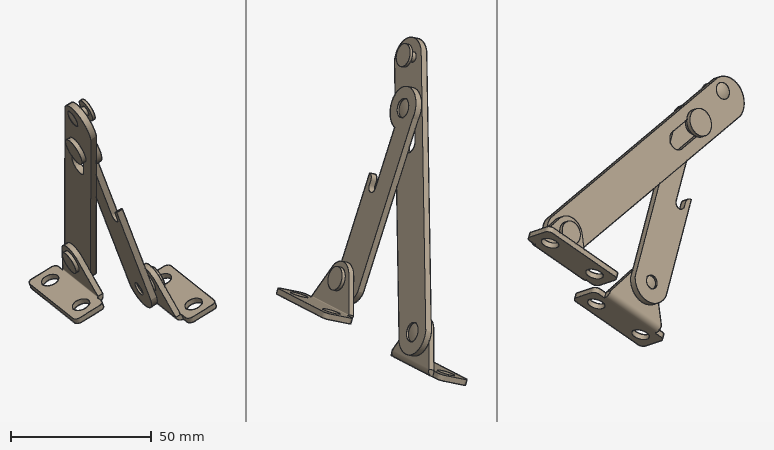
import cadquery as cq
import math

arm_sheet = 2.5
bracket_sheet = 2.14

yaw = 10.24
lean = 19.69
roll = 0.64

long_arm_width = 16.19
long_end_radius = 8.27
long_arm_length = 101.44
long_arm_angle = 59.67
slot_start = 70.42
slider_along = 83.11
stop_along = 101.7
stop_across = 3.16

short_arm_width = 15.33
short_end_radius = 7.85
short_arm_length = 65.31
short_arm_angle = 91.62
neck_width = 9.05
notch_width = 4.1
notch_centre = 34.48
hook_tip = 38.45

base_length = 34.89
base_depth = 12.4
base_corner = 2.0
base_drop = 12.33
screw_hole = 6.4
screw_spacing = 22.2
bend_inner = 0.3
flange_width = 25.48
flange_round = 6.46

shank_diameter = 7.0
head_diameter = 8.59
head_thickness = 1.4
slider_head_diameter = 10.2
slider_head_thickness = 1.76
rear_tail_diameter = 5.0
stop_tail_diameter = 6.2
stop_neck_diameter = 3.75
stop_neck_length = 3.23
stop_head_diameter = 8.4
stop_head_thickness = 1.12
stop_tail_depth = arm_sheet / 2
stop_dome_height = 0.75
tail_recess = 0.8
tail_dome_height = 0.4
slot_width = shank_diameter

front_gap = 0.18
rear_gap = 2.3
front_flange_back = -front_gap
front_flange_front = front_flange_back - bracket_sheet
long_arm_front = 0.0
long_arm_back = long_arm_front + arm_sheet
short_arm_front = long_arm_back
short_arm_back = short_arm_front + arm_sheet
rear_flange_front = short_arm_back + rear_gap
rear_flange_back = rear_flange_front + bracket_sheet


def along_long_arm(along, across):
    """Point on the long arm, given along it and to the left of its centre line."""
    angle = math.radians(long_arm_angle)
    x = along * math.cos(angle) - across * math.sin(angle)
    z = along * math.sin(angle) + across * math.cos(angle)
    return (x, z)


front_pivot = (0.0, 0.0)
slider = along_long_arm(slider_along, 0)
stop = along_long_arm(stop_along, stop_across)
rear_pivot = (
    slider[0] - short_arm_length * math.cos(math.radians(short_arm_angle)),
    slider[1] - short_arm_length * math.sin(math.radians(short_arm_angle)),
)


def disc(centre, diameter, front, back):
    """Cylinder along Y from depth front to depth back."""
    plane = cq.Plane(origin=(centre[0], front, centre[1]), xDir=(-1, 0, 0), normal=(0, 1, 0))
    return cq.Workplane(plane).circle(diameter / 2).extrude(back - front)


def dome(centre, diameter, rim, tip):
    """Shallow spherical cap with its flat side at depth rim and its top at depth tip."""
    rise = abs(tip - rim)
    radius = ((diameter / 2) ** 2 + rise**2) / (2 * rise)
    ball_depth = tip - math.copysign(radius, tip - rim)
    ball = cq.Workplane("XY").sphere(radius).translate((centre[0], ball_depth, centre[1]))
    return ball.intersect(disc(centre, diameter, min(rim, tip), max(rim, tip)))


def make_pin(centre, steps, dome_height):
    """Turned pin of (diameter, start, end) steps, with a low dome on the end of the last step."""
    tail_diameter, tail_start, tail_end = steps[-1]
    tip = tail_end + math.copysign(dome_height, tail_end - tail_start)
    pin = dome(centre, tail_diameter, tail_end, tip)
    for diameter, start, end in steps:
        pin = pin.union(disc(centre, diameter, min(start, end), max(start, end)))
    return pin


def stand(arm, pivot, angle, front):
    """Raise an arm drawn along +X in the XY plane, swing it to its angle and set its pivot and depth."""
    upright = arm.rotate((0, 0, 0), (1, 0, 0), 90).rotate((0, 0, 0), (0, 1, 0), -angle)
    return upright.translate((pivot[0], front, pivot[1]))


def make_long_arm():
    half = long_arm_width / 2
    end_join = math.sqrt(long_end_radius**2 - half**2)
    top_join = long_arm_length + end_join
    blank = (
        cq.Workplane("XY")
        .moveTo(-end_join, -half)
        .lineTo(top_join, -half)
        .threePointArc((long_arm_length + long_end_radius, 0), (top_join, half))
        .lineTo(-end_join, half)
        .threePointArc((-long_end_radius, 0), (-end_join, -half))
        .close()
        .extrude(-arm_sheet)
    )
    slot = (
        cq.Workplane("XY")
        .center((slot_start + slider_along) / 2, 0)
        .slot2D(slider_along - slot_start + slot_width, slot_width)
        .extrude(-arm_sheet)
    )
    pivot_hole = cq.Workplane("XY").circle(shank_diameter / 2).extrude(-arm_sheet)
    stop_centre = cq.Workplane("XY").center(stop_along, stop_across)
    neck_hole = stop_centre.circle(stop_neck_diameter / 2).extrude(-arm_sheet)
    tail_recess_hole = stop_centre.circle(stop_tail_diameter / 2).extrude(-stop_tail_depth)
    arm = blank.cut(slot).cut(pivot_hole).cut(neck_hole).cut(tail_recess_hole)
    return stand(arm, front_pivot, long_arm_angle, long_arm_front)


def make_short_arm():
    """Narrow-necked arm with a round head, and a hook beside the neck that catches the stop pin."""
    half = short_arm_width / 2
    end_join = math.sqrt(short_end_radius**2 - half**2)
    neck_side = half - neck_width
    neck_top = short_arm_length - math.sqrt(short_end_radius**2 - neck_side**2)
    hook_inner = neck_side - notch_width
    hook_width = half + hook_inner
    hook_shoulder = hook_tip - hook_width
    diagonal = hook_width * math.sqrt(0.5)
    notch_radius = notch_width / 2
    blank = (
        cq.Workplane("XY")
        .moveTo(-end_join, -half)
        .lineTo(hook_tip, -half)
        .threePointArc((hook_shoulder + diagonal, -half + diagonal), (hook_shoulder, hook_inner))
        .lineTo(notch_centre, hook_inner)
        .threePointArc((notch_centre - notch_radius, neck_side - notch_radius), (notch_centre, neck_side))
        .lineTo(neck_top, neck_side)
        .threePointArc((short_arm_length + short_end_radius, 0), (short_arm_length - end_join, half))
        .lineTo(-end_join, half)
        .threePointArc((-short_end_radius, 0), (-end_join, -half))
        .close()
        .extrude(-arm_sheet)
    )
    pivot_hole = cq.Workplane("XY").circle(rear_tail_diameter / 2).extrude(-arm_sheet)
    slider_hole = (
        cq.Workplane("XY").center(short_arm_length, 0).circle(shank_diameter / 2).extrude(-arm_sheet)
    )
    arm = blank.cut(pivot_hole).cut(slider_hole)
    return stand(arm, rear_pivot, short_arm_angle, short_arm_front)


def make_bracket():
    """L bracket with its pivot on the Y axis, its flange in front of y = 0 and its base toward -Y."""
    bend_outer = bend_inner + bracket_sheet
    bend_middle = math.sqrt(0.5)
    half = flange_width / 2
    bend_top = bend_outer - base_drop

    corner_angle = math.atan2(bend_top, half)
    touch_angle = corner_angle + math.acos(flange_round / math.hypot(half, bend_top))
    touch_x = flange_round * math.cos(touch_angle)
    touch_z = flange_round * math.sin(touch_angle)
    flange = (
        cq.Workplane("XZ")
        .moveTo(-half, bend_top)
        .lineTo(half, bend_top)
        .lineTo(touch_x, touch_z)
        .threePointArc((0, flange_round), (-touch_x, touch_z))
        .close()
        .extrude(bracket_sheet)
    )
    bend = (
        cq.Workplane("YZ")
        .center(-bend_outer, bend_top)
        .moveTo(bend_outer, 0)
        .threePointArc((bend_outer * bend_middle, -bend_outer * bend_middle), (0, -bend_outer))
        .lineTo(0, -bend_inner)
        .threePointArc((bend_inner * bend_middle, -bend_inner * bend_middle), (bend_inner, 0))
        .close()
        .extrude(half, both=True)
    )
    base = (
        cq.Workplane("XY", origin=(0, -bend_outer - base_depth / 2, -base_drop))
        .rect(base_length, base_depth)
        .extrude(bracket_sheet)
        .edges("|Z")
        .fillet(base_corner)
        .faces(">Z")
        .workplane()
        .pushPoints([(-screw_spacing / 2, 0), (screw_spacing / 2, 0)])
        .hole(screw_hole)
    )
    pivot_hole = disc((0, 0), shank_diameter, -bracket_sheet, 0)
    return flange.union(bend).union(base).cut(pivot_hole)


def make_front_bracket():
    return make_bracket().translate((front_pivot[0], front_flange_back, front_pivot[1]))


def make_rear_bracket():
    """The same bracket turned about, so that its base reaches to the back."""
    turned = make_bracket().rotate((0, 0, 0), (0, 0, 1), 180)
    return turned.translate((rear_pivot[0], rear_flange_front, rear_pivot[1]))


def make_front_rivet():
    head_front = front_flange_front - head_thickness
    steps = [
        (head_diameter, head_front, front_flange_front),
        (shank_diameter, front_flange_front, long_arm_back - tail_recess),
    ]
    return make_pin(front_pivot, steps, tail_dome_height)


def make_rear_rivet():
    """Its thick shank also keeps the rear flange away from the short arm."""
    head_back = rear_flange_back + head_thickness
    steps = [
        (head_diameter, head_back, rear_flange_back),
        (shank_diameter, rear_flange_back, short_arm_back),
        (rear_tail_diameter, short_arm_back, short_arm_front + tail_recess),
    ]
    return make_pin(rear_pivot, steps, tail_dome_height)


def make_slider_rivet():
    head_front = long_arm_front - slider_head_thickness
    steps = [
        (slider_head_diameter, head_front, long_arm_front),
        (shank_diameter, long_arm_front, short_arm_back - tail_recess),
    ]
    return make_pin(slider, steps, tail_dome_height)


def make_stop_pin():
    tail_back = long_arm_front + stop_tail_depth
    neck_back = long_arm_back + stop_neck_length
    head_back = neck_back + stop_head_thickness
    steps = [
        (stop_head_diameter, head_back, neck_back),
        (stop_neck_diameter, neck_back, tail_back),
        (stop_tail_diameter, tail_back, long_arm_front),
    ]
    return make_pin(stop, steps, stop_dome_height)


def pose(body):
    """Tilt a body about the front pivot into its final position."""
    pivot = (0, 0, 0)
    rolled = body.rotate(pivot, (0, 1, 0), roll)
    leaned = rolled.rotate(pivot, (1, 0, 0), lean)
    return leaned.rotate(pivot, (0, 0, 1), yaw)


front_bracket = pose(make_front_bracket())
rear_bracket = pose(make_rear_bracket())
long_arm = pose(make_long_arm())
short_arm = pose(make_short_arm())
front_rivet = pose(make_front_rivet())
rear_rivet = pose(make_rear_rivet())
slider_rivet = pose(make_slider_rivet())
stop_pin = pose(make_stop_pin())

result = cq.Compound.makeCompound([
    front_bracket.val(),
    rear_bracket.val(),
    long_arm.val(),
    short_arm.val(),
    front_rivet.val(),
    rear_rivet.val(),
    slider_rivet.val(),
    stop_pin.val(),
])